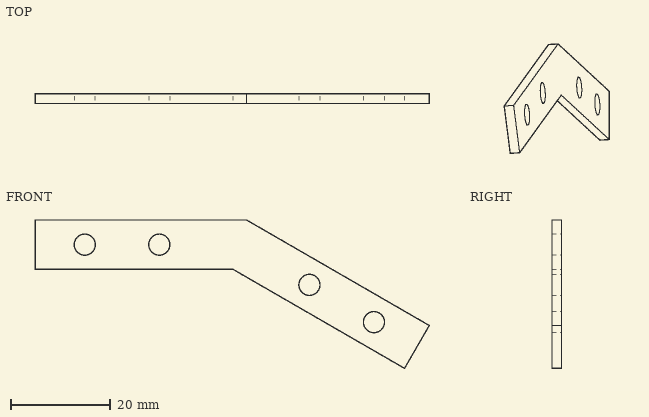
import cadquery as cq
import math

overall_length = 79.3
strip_width = 10.0
thickness = 2.0
bend_angle = 30.0
hole_diameter = 4.2
end_to_hole = 10.0
hole_spacing = 15.0

bend = math.radians(bend_angle)
arm_length = (overall_length - strip_width * math.sin(bend)) / (1 + math.cos(bend))
miter = strip_width * math.tan(bend / 2)
hole_distances = (end_to_hole, end_to_hole + hole_spacing)


def sloped_point(along, across):
    """Point on the sloping arm, measured from the inner corner at the origin."""
    x = along * math.cos(bend) + across * math.sin(bend)
    z = -along * math.sin(bend) + across * math.cos(bend)
    return (x, z)


outline = [
    (-arm_length, 0),
    (0, 0),
    sloped_point(arm_length, 0),
    sloped_point(arm_length, strip_width),
    (miter, strip_width),
    (-arm_length, strip_width),
]
strip = cq.Workplane("XZ").polyline(outline).close().extrude(thickness)

hole_centers = []
for distance in hole_distances:
    along = arm_length - distance
    hole_centers.append((-along, strip_width / 2))
    hole_centers.append(sloped_point(along, strip_width / 2))

holes = cq.Workplane("XZ").pushPoints(hole_centers).circle(hole_diameter / 2).extrude(thickness)

result = strip.cut(holes)